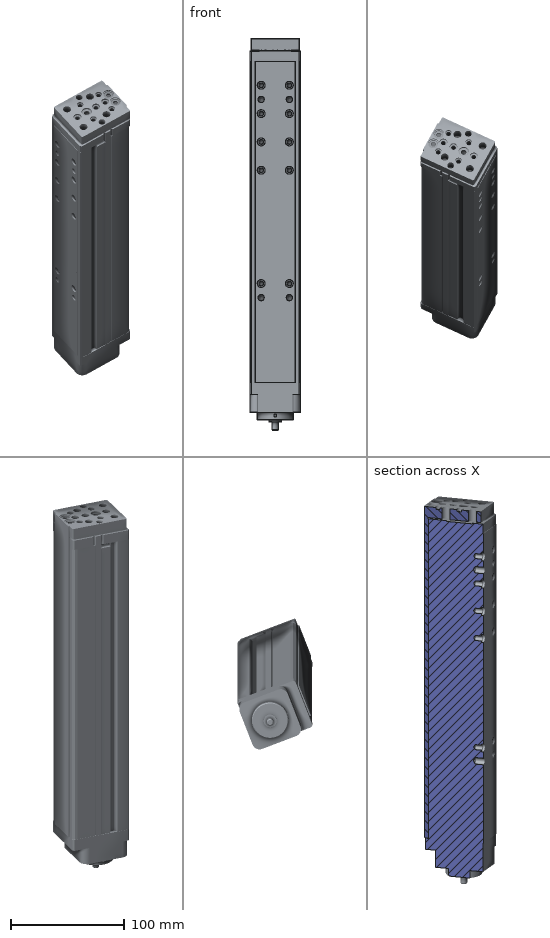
import cadquery as cq
import math

LENGTH = 346.0
WIDTH = 44.5
HALF_WIDTH = WIDTH / 2
FRONT_FACE = -27.7
BACK_FACE = 27.0
PAD_HEIGHT = 0.5
RAIL_HEIGHT = 1.0

YOKE_PITCH = 10.0
AXIS_Y = -YOKE_PITCH / 2

FLANGE_BOTTOM = 31.5
FLANGE_TOP = 42.2
CAP_BOTTOM = 326.0
CAP_TOP = 335.0
YOKE_BOTTOM = 335.5
BLOCK_BOTTOM = 16.0
BOSS_BOTTOM = 9.0
COLLAR_BOTTOM = 7.5

CORNER_CHAMFER = 1.5
PROFILE_HALF = 22.0
PROFILE_CHAMFER = 1.0
PAD_TOP_HALF = 17.3
PAD_BASE_HALF = 18.0
BACK_TAPER_START = 23.0
BACK_TAPER_INSET = 0.5
BACK_CHAMFER = 2.0
LINE_GROOVE_Y = 5.2
LINE_GROOVE_WIDTH = 1.0
LINE_GROOVE_DEPTH = 2.0
STRIP_START = -0.5
STRIP_BEVEL = 1.0
STRIP_DEPTH = 0.5
STRIP_END = -9.7
STRIP_TOP = 322.0
POCKET_DEPTH = 7.0
SLOT_DEPTH = 3.0
SLOT_FLOOR_EDGES = (-10.7, -14.2)
SLOT_END = -16.0

NOTCH_DIAMETER = 2.45
NOTCH_PLACES = (6.2, -1.5)
CAP_RECESS_DIAMETER = 34.5
CAP_RECESS_DEPTH = 0.7

BLOCK_BACK = 17.5
BLOCK_CORNER = 6.5
BOSS_DIAMETER = 32.2
BOSS_CHAMFER = 0.7
COLLAR_DIAMETER = 11.5
SHAFT_DIAMETER = 6.0
SHAFT_CHAMFER = 0.7
BOSS_HOLE_DIAMETER = 2.45
BOSS_HOLE_DEPTH = 2.0
BOSS_HOLE_Z = 13.0
BOSS_HOLE_COUNT = 4

MOUNT_HALF_PITCH = 12.5
MOUNT_SEAT_DIAMETER = 7.0
MOUNT_SEAT_DEPTH = 1.7
MOUNT_THREAD_DIAMETER = 4.0
MOUNT_DEPTH = 8.0
DOWEL_DIAMETER = 5.5
MOUNT_TOP = 304.8
MOUNT_SPAN = 175.0
MOUNT_STEPS = (0, 2, 4, 6, 14)
DOWEL_STEPS = (1, 15)
MOUNT_STEP = MOUNT_SPAN / MOUNT_STEPS[-1]
DRILL_POINT_ANGLE = 118

YOKE_HALF_WIDTH = 21.5
YOKE_FRONT = -25.5
YOKE_CHAMFER = 0.7
RAIL_HALF_WIDTH = 14.5
RAIL_BACK = BACK_FACE + RAIL_HEIGHT
RAIL_FRONT = 24.2

YOKE_SEAT_DIAMETER = 7.0
YOKE_SEAT_DEPTH = 1.7
YOKE_THREAD_DIAMETER = 4.0
CENTRE_SEAT_DIAMETER = 9.0
CENTRE_BORE_DIAMETER = 5.0
CENTRE_BORE_DEPTH = 5.2
SIDE_SEAT_DIAMETER = 6.0
CORNER_OFFSET = 12.5
CORNER_HOLE_DIAMETER = 7.0
OUTER_HOLE_X = 17.3
OUTER_HOLE_Y = 4.0
OUTER_HOLE_DIAMETER = 6.0
SCREW_X = 5.2
SCREW_Y = 27.5
SCREW_SEAT_DIAMETER = 9.7
SCREW_HEAD_DIAMETER = 8.0
SCREW_SEAT_DEPTH = 1.0
SCREW_HEAD_DEPTH = 1.7
SOCKET_DEPTH = 3.5
SOCKET_WIDTH = 4.0
SOCKET_SIDES = 6


def block(x_half, y_min, y_max, z_min, z_max):
    """Box centred on X, between the given Y and Z limits."""
    return (
        cq.Workplane("XY", origin=(0, (y_min + y_max) / 2, z_min))
        .rect(2 * x_half, y_max - y_min)
        .extrude(z_max - z_min)
    )


def post(diameter, z_min, z_max):
    """Cylinder on the drive axis."""
    return cq.Workplane("XY", origin=(0, AXIS_Y, z_min)).circle(diameter / 2).extrude(z_max - z_min)


def profile_side():
    """Right half of the housing section, from the mounting pad round to the back."""
    slot_x = PROFILE_HALF - SLOT_DEPTH
    strip_x = PROFILE_HALF - STRIP_DEPTH
    line_x = PROFILE_HALF - LINE_GROOVE_DEPTH
    back_x = PROFILE_HALF - BACK_TAPER_INSET
    line_start = LINE_GROOVE_Y - LINE_GROOVE_WIDTH / 2
    line_end = LINE_GROOVE_Y + LINE_GROOVE_WIDTH / 2
    floor_start, floor_end = SLOT_FLOOR_EDGES
    return [
        (PAD_TOP_HALF, FRONT_FACE - PAD_HEIGHT),
        (PAD_BASE_HALF, FRONT_FACE),
        (PROFILE_HALF - PROFILE_CHAMFER, FRONT_FACE),
        (PROFILE_HALF, FRONT_FACE + PROFILE_CHAMFER),
        (PROFILE_HALF, SLOT_END),
        (slot_x, floor_end),
        (slot_x, floor_start),
        (strip_x, STRIP_END),
        (strip_x, STRIP_START - STRIP_BEVEL),
        (PROFILE_HALF, STRIP_START),
        (PROFILE_HALF, line_start),
        (line_x, line_start),
        (line_x, line_end),
        (PROFILE_HALF, line_end),
        (PROFILE_HALF, BACK_TAPER_START),
        (back_x, BACK_FACE - BACK_CHAMFER),
        (back_x - BACK_CHAMFER, BACK_FACE),
    ]


def housing_profile():
    """Extruded bar with mirrored sides and an open pocket above each side strip."""
    right = profile_side()
    left = [(-x, y) for x, y in reversed(right)]
    bar = (
        cq.Workplane("XY", origin=(0, 0, FLANGE_TOP))
        .polyline(right + left)
        .close()
        .extrude(CAP_BOTTOM - FLANGE_TOP)
    )
    pockets = (
        cq.Workplane("XY", origin=(0, (STRIP_START + STRIP_END) / 2, STRIP_TOP))
        .pushPoints([(-PROFILE_HALF, 0), (PROFILE_HALF, 0)])
        .rect(2 * POCKET_DEPTH, STRIP_START - STRIP_END)
        .extrude(CAP_BOTTOM - STRIP_TOP)
    )
    return bar.cut(pockets)


def end_cap():
    cap = block(HALF_WIDTH, FRONT_FACE, BACK_FACE, CAP_BOTTOM, CAP_TOP).edges("|Z").chamfer(CORNER_CHAMFER)
    notches = (
        cq.Workplane("XY", origin=(0, 0, CAP_BOTTOM))
        .pushPoints([(side * HALF_WIDTH, y) for side in (-1, 1) for y in NOTCH_PLACES])
        .circle(NOTCH_DIAMETER / 2)
        .extrude(CAP_TOP - CAP_BOTTOM)
    )
    recess = post(CAP_RECESS_DIAMETER, CAP_TOP - CAP_RECESS_DEPTH, CAP_TOP)
    return cap.cut(notches).cut(recess)


def motor_end():
    """Bottom flange, motor block, centring boss and drive shaft."""
    flange = (
        block(HALF_WIDTH, FRONT_FACE, BACK_FACE, FLANGE_BOTTOM, FLANGE_TOP)
        .edges("|Z")
        .chamfer(CORNER_CHAMFER)
    )
    lower = (
        block(HALF_WIDTH, FRONT_FACE, BLOCK_BACK, BLOCK_BOTTOM, FLANGE_BOTTOM)
        .edges("|Z")
        .fillet(BLOCK_CORNER)
    )
    boss = post(BOSS_DIAMETER, BOSS_BOTTOM, BLOCK_BOTTOM).faces("<Z").chamfer(BOSS_CHAMFER)
    for index in range(BOSS_HOLE_COUNT):
        hole = (
            cq.Workplane("XZ", origin=(0, -BOSS_DIAMETER / 2, BOSS_HOLE_Z))
            .circle(BOSS_HOLE_DIAMETER / 2)
            .extrude(-BOSS_HOLE_DEPTH)
            .rotate((0, 0, 0), (0, 0, 1), index * 360 / BOSS_HOLE_COUNT)
            .translate((0, AXIS_Y, 0))
        )
        boss = boss.cut(hole)
    collar = post(COLLAR_DIAMETER, COLLAR_BOTTOM, BOSS_BOTTOM)
    shaft = post(SHAFT_DIAMETER, 0, COLLAR_BOTTOM).faces("<Z").chamfer(SHAFT_CHAMFER)
    return flange.union(lower).union(boss).union(collar).union(shaft)


def drill(diameter, depth, place, direction):
    """Blind drill cutter with a conical point beyond the given depth."""
    radius = diameter / 2
    point = radius / math.tan(math.radians(DRILL_POINT_ANGLE / 2))
    tip = place + direction * depth
    shank = cq.Solid.makeCylinder(radius, depth, place, direction)
    return cq.Workplane(shank.fuse(cq.Solid.makeCone(radius, 0, point, tip, direction)))


def mount_places(steps):
    """Left and right hole centres on the mounting pad, counted in steps below the top pair."""
    return [
        cq.Vector(side * MOUNT_HALF_PITCH, FRONT_FACE - PAD_HEIGHT, MOUNT_TOP - step * MOUNT_STEP)
        for side in (-1, 1)
        for step in steps
    ]


def cut_mounting_holes(body):
    inward = cq.Vector(0, 1, 0)
    for place in mount_places(MOUNT_STEPS):
        seat = cq.Solid.makeCylinder(MOUNT_SEAT_DIAMETER / 2, MOUNT_SEAT_DEPTH, place, inward)
        body = body.cut(cq.Workplane(seat)).cut(drill(MOUNT_THREAD_DIAMETER, MOUNT_DEPTH, place, inward))
    for place in mount_places(DOWEL_STEPS):
        body = body.cut(drill(DOWEL_DIAMETER, MOUNT_DEPTH, place, inward))
    return body


def rail():
    return block(RAIL_HALF_WIDTH, RAIL_FRONT, RAIL_BACK, FLANGE_TOP, LENGTH)


def build_housing():
    body = housing_profile().union(end_cap()).union(motor_end())
    return cut_mounting_holes(body.cut(rail()))


def yoke_holes(diameter, depth, places):
    """Holes sunk from the yoke top at places given from the drive axis."""
    return (
        cq.Workplane("XY", origin=(0, AXIS_Y, LENGTH)).pushPoints(places).circle(diameter / 2).extrude(-depth)
    )


def both_sides(x, y):
    return [(-x, y), (x, y)]


def cut_yoke_holes(slide):
    thickness = LENGTH - YOKE_BOTTOM
    column = [(0, -YOKE_PITCH), (0, YOKE_PITCH), (0, 2 * YOKE_PITCH)]
    sides = both_sides(YOKE_PITCH, 0) + both_sides(YOKE_PITCH, 2 * YOKE_PITCH)
    corners = both_sides(CORNER_OFFSET, -CORNER_OFFSET) + both_sides(CORNER_OFFSET, CORNER_OFFSET)
    outer = both_sides(OUTER_HOLE_X, OUTER_HOLE_Y)
    screws = both_sides(SCREW_X, SCREW_Y)
    for diameter, depth, places in [
        (YOKE_SEAT_DIAMETER, YOKE_SEAT_DEPTH, column),
        (YOKE_THREAD_DIAMETER, thickness, column),
        (SIDE_SEAT_DIAMETER, YOKE_SEAT_DEPTH, sides),
        (YOKE_THREAD_DIAMETER, thickness, sides),
        (CORNER_HOLE_DIAMETER, thickness, corners),
        (OUTER_HOLE_DIAMETER, thickness, outer),
        (CENTRE_SEAT_DIAMETER, YOKE_SEAT_DEPTH, [(0, 0)]),
        (SCREW_SEAT_DIAMETER, SCREW_SEAT_DEPTH, screws),
        (SCREW_HEAD_DIAMETER, SCREW_HEAD_DEPTH, screws),
    ]:
        slide = slide.cut(yoke_holes(diameter, depth, places))
    centre = cq.Vector(0, AXIS_Y, LENGTH)
    slide = slide.cut(drill(CENTRE_BORE_DIAMETER, CENTRE_BORE_DEPTH, centre, cq.Vector(0, 0, -1)))
    sockets = (
        cq.Workplane("XY", origin=(0, AXIS_Y, LENGTH))
        .pushPoints(screws)
        .polygon(SOCKET_SIDES, SOCKET_WIDTH / math.cos(math.pi / SOCKET_SIDES))
        .extrude(-SOCKET_DEPTH)
    )
    return slide.cut(sockets)


def build_slide():
    yoke = (
        block(YOKE_HALF_WIDTH, YOKE_FRONT, BACK_FACE, YOKE_BOTTOM, LENGTH).edges("|Z").chamfer(YOKE_CHAMFER)
    )
    return cut_yoke_holes(yoke.union(rail()))


housing = build_housing()
slide = build_slide()
result = cq.Compound.makeCompound([housing.val(), slide.val()])